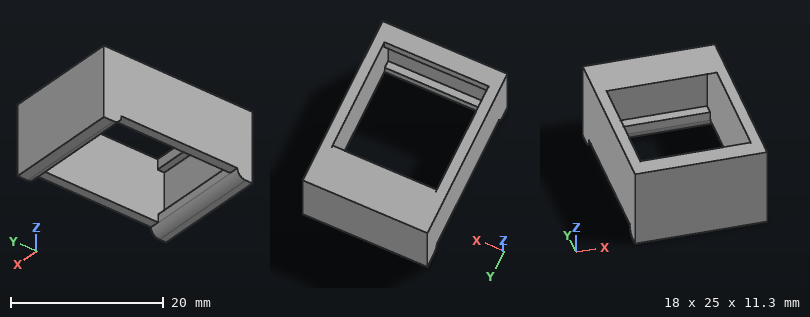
import cadquery as cq

width = 18.0
length = 25.0
height = 11.25

wall = 1.5
top_plate = 1.65
window_front = 2.65
window_back = 18.85
bevel_run = 3.15

foot_radius = 1.35
front_foot_center = 1.2
back_foot_center = length - 1.6

ledge_height = 1.25
front_ledge_end = front_foot_center + foot_radius
back_ledge_start = back_foot_center - foot_radius

body_bottom = foot_radius
ledge_top = body_bottom + ledge_height
plate_bottom = height - top_plate
inner_width = width - 2 * wall


def block(x_size, y_start, y_end, z_start, z_end):
    """Box centered across the width, between the given Y and Z limits."""
    return (
        cq.Workplane("XY")
        .box(x_size, y_end - y_start, z_end - z_start, centered=(True, False, False))
        .translate((0, y_start, z_start))
    )


def foot(outer_y, center_y):
    """Full-width foot from an outer face to a quarter round about center_y."""
    inward = 1 if center_y > outer_y else -1
    return (
        cq.Workplane("YZ")
        .moveTo(outer_y, body_bottom)
        .lineTo(outer_y, 0)
        .lineTo(center_y, 0)
        .radiusArc((center_y + inward * foot_radius, body_bottom), -inward * foot_radius)
        .close()
        .extrude(width / 2, both=True)
    )


body = block(width, 0, length, body_bottom, height)
lower_cavity = block(inner_width, front_ledge_end, back_ledge_start, body_bottom, ledge_top)
upper_cavity = block(inner_width, wall, length - wall, ledge_top, plate_bottom)
window = block(inner_width, window_front, window_back, plate_bottom, height)
body = body.cut(lower_cavity).cut(upper_cavity).cut(window)

bevel = (
    cq.Workplane("YZ")
    .moveTo(window_back, height)
    .lineTo(window_back + bevel_run, plate_bottom)
    .lineTo(window_back, plate_bottom)
    .close()
    .extrude(inner_width / 2, both=True)
)
body = body.cut(bevel)

body = body.union(foot(0, front_foot_center))
body = body.union(foot(length, back_foot_center))

result = body.translate((0, -length / 2, 0))